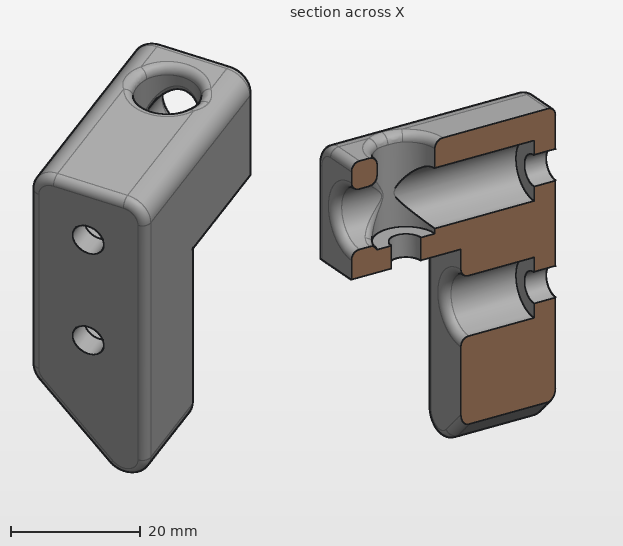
import cadquery as cq
import math

width = 20.0
depth = 37.4
height = 54.7
leg_depth = 17.4
block_height = 20.0

corner_radius = 4.0
edge_radius = 1.5

hole_diameter = 5.35
top_counterbore_diameter = 10.5
back_counterbore_diameter = 10.3
wall = 4.0
hole_inset = width / 2
hole_spacing = block_height

rim_zone_size = top_counterbore_diameter + 0.55
rim_zone_reach = corner_radius / 2

upper_hole_z = height - hole_inset
lower_hole_z = upper_hole_z - hole_spacing
top_mouth = cq.Plane((0, depth - hole_inset, height), (1, 0, 0), (0, 0, 1))
block_back_mouth = cq.Plane((0, depth, upper_hole_z), (1, 0, 0), (0, 1, 0))
leg_back_mouth = cq.Plane((0, leg_depth, lower_hole_z), (1, 0, 0), (0, 1, 0))

tip_z = -corner_radius * math.sqrt(2)
slope_top_z = tip_z + width


def outline_prism(length):
    """Rounded front outline, extruded from the front face at Y = 0 toward +Y."""
    return (
        cq.Workplane("XZ")
        .moveTo(-width / 2, height)
        .lineTo(width / 2, height)
        .lineTo(width / 2, tip_z)
        .lineTo(-width / 2, slope_top_z)
        .close()
        .extrude(-length)
        .edges("|Y")
        .fillet(corner_radius)
        .faces("<Y or >Y")
        .edges()
        .fillet(edge_radius)
    )


def upper_block():
    """Full-depth prism trimmed to a flat underside."""
    keep = cq.Workplane("XY").box(
        width, depth, block_height, centered=(True, False, False)
    ).translate((0, 0, height - block_height))
    return outline_prism(depth).intersect(keep)


def bore(mouth, diameter, length):
    """Round cutter going inward from the origin of a plane that faces out of the part."""
    return cq.Workplane(mouth).circle(diameter / 2).extrude(-length)


def round_rim(part, mouth):
    """Round the edges around a counterbore mouth, including where it meets the top corner rounds."""
    rim_plane = cq.Workplane(mouth)
    zone = rim_plane.rect(rim_zone_size, rim_zone_size).extrude(rim_zone_reach, both=True)
    bounds = zone.val().BoundingBox()
    rim = cq.selectors.BoxSelector(
        (bounds.xmin, bounds.ymin, bounds.zmin),
        (bounds.xmax, bounds.ymax, bounds.zmax),
        boundingbox=True,
    )
    return part.edges(rim).fillet(edge_radius)


body = outline_prism(leg_depth).union(upper_block())

holes = [
    (top_mouth, top_counterbore_diameter, block_height),
    (block_back_mouth, back_counterbore_diameter, depth),
    (leg_back_mouth, back_counterbore_diameter, leg_depth),
]

for mouth, counterbore_diameter, hole_length in holes:
    body = body.cut(bore(mouth, counterbore_diameter, hole_length - wall))
for mouth, counterbore_diameter, hole_length in holes:
    body = round_rim(body, mouth)

crossing = (0, depth - hole_inset + top_counterbore_diameter / 2, upper_hole_z)
crossing_edge = cq.selectors.NearestToPointSelector(crossing)
body = body.edges("%BSPLINE").edges(crossing_edge).fillet(edge_radius)

for mouth, counterbore_diameter, hole_length in holes:
    body = body.cut(bore(mouth, hole_diameter, hole_length))

result = body